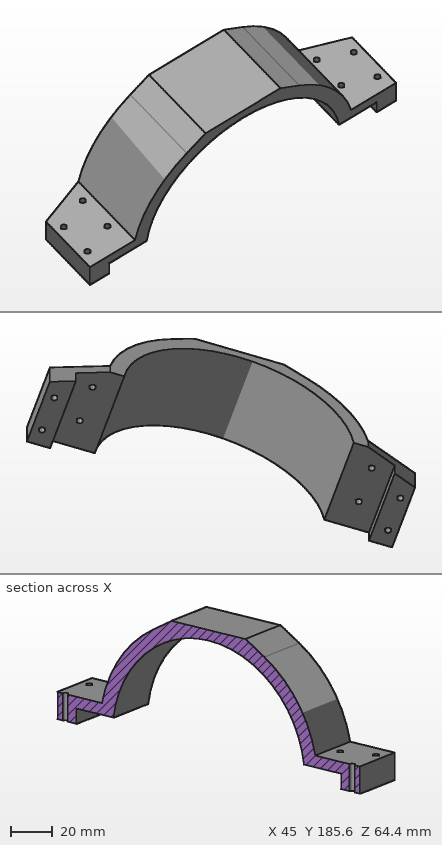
import cadquery as cq
import math

width = 45.0
length = 185.59
height = 64.41
half_width = width / 2
half_length = length / 2

inner_radius = 58.8
outer_radius = 67.0
crown_half_flat = 22.7

flange_top = 14.0
flange_bottom = 7.8
foot_length = 11.8
corner_cut_width = 10.0

hole_diameter = 3.0
hole_places = [(10.6, 70.9), (30.2, 70.9), (17.8, 87.9), (36.6, 87.9)]

flange_root = math.sqrt(outer_radius**2 - flange_top**2)
inner_end = math.sqrt(inner_radius**2 - flange_bottom**2)
foot_inner = half_length - foot_length

crown_corner_distance = math.hypot(crown_half_flat, height)
crown_corner_angle = math.atan2(crown_half_flat, height)
tangent_angle = crown_corner_angle + math.acos(outer_radius / crown_corner_distance)
root_angle = math.acos(flange_top / outer_radius)


def outer_arc_point(angle):
    """Point (Y, Z) on the outer arc at an angle from the vertical."""
    return outer_radius * math.sin(angle), outer_radius * math.cos(angle)


def mirrored(point):
    """Point (Y, Z) reflected to the other side of Y = 0."""
    return -point[0], point[1]


def make_bracket():
    """Arch, flanges and feet as one profile extruded along the full width."""
    shoulder = outer_arc_point(tangent_angle)
    arc_middle = outer_arc_point((tangent_angle + root_angle) / 2)
    root = (flange_root, flange_top)
    return (
        cq.Workplane("YZ", origin=(-half_width, 0, 0))
        .moveTo(-crown_half_flat, height)
        .lineTo(crown_half_flat, height)
        .lineTo(*shoulder)
        .threePointArc(arc_middle, root)
        .lineTo(half_length, flange_top)
        .lineTo(half_length, 0)
        .lineTo(foot_inner, 0)
        .lineTo(foot_inner, flange_bottom)
        .lineTo(inner_end, flange_bottom)
        .threePointArc((0, inner_radius), (-inner_end, flange_bottom))
        .lineTo(-foot_inner, flange_bottom)
        .lineTo(-foot_inner, 0)
        .lineTo(-half_length, 0)
        .lineTo(-half_length, flange_top)
        .lineTo(*mirrored(root))
        .threePointArc(mirrored(arc_middle), mirrored(shoulder))
        .close()
        .extrude(width)
    )


def make_corner_cut(side):
    """Wedge that tapers the -X side of one flange, from its root to its end."""
    return (
        cq.Workplane("XY")
        .moveTo(-half_width, side * flange_root)
        .lineTo(-half_width, side * half_length)
        .lineTo(-half_width + corner_cut_width, side * half_length)
        .close()
        .extrude(height)
    )


def make_holes(side):
    """Vertical screw holes through one flange and its foot."""
    centers = [(-half_width + x, side * y) for x, y in hole_places]
    return cq.Workplane("XY").pushPoints(centers).circle(hole_diameter / 2).extrude(flange_top)


result = make_bracket()
for side in (-1, 1):
    result = result.cut(make_corner_cut(side)).cut(make_holes(side))